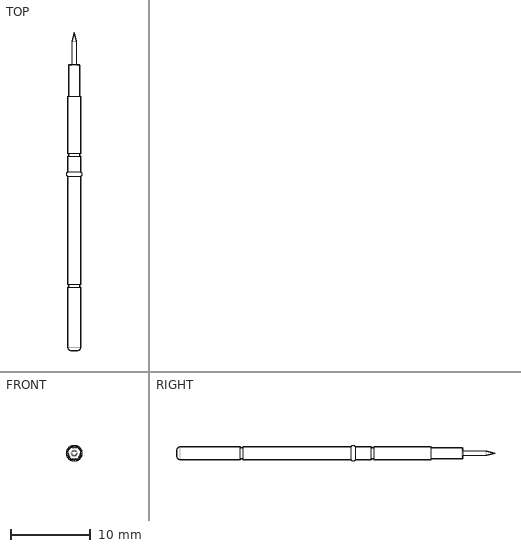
import cadquery as cq
import math

length = 40.0
tail_y = -length / 2
tip_y = length / 2

barrel_diameter = 1.65
sleeve_diameter = 1.4
plunger_diameter = 0.6
barrel_radius = barrel_diameter / 2
sleeve_radius = sleeve_diameter / 2
plunger_radius = plunger_diameter / 2

tip_length = 1.1
plunger_length = 4.0
sleeve_length = 4.0
sleeve_fillet = 0.1
tail_fillet = 0.45

ring_outer_radius = 1.0
ring_tube_radius = 0.3
ring_from_tip = 17.8

groove_width = 0.4
groove_depth = 0.1
grooves_from_tip = (15.35, 31.85)

sleeve_front_y = tip_y - plunger_length
barrel_front_y = sleeve_front_y - sleeve_length


def revolve_about_y(profile):
    """Turn an XY profile a full revolution about the Y axis."""
    return profile.revolve(360, (0, 0, 0), (0, 1, 0))


def make_body():
    """Plunger, sleeve and barrel as one stepped shaft with a rounded tail."""
    profile = (
        cq.Workplane("XY")
        .moveTo(0, tip_y)
        .lineTo(plunger_radius, tip_y - tip_length)
        .lineTo(plunger_radius, sleeve_front_y)
        .lineTo(sleeve_radius - sleeve_fillet, sleeve_front_y)
        .tangentArcPoint((sleeve_radius, sleeve_front_y - sleeve_fillet), relative=False)
        .lineTo(sleeve_radius, barrel_front_y)
        .lineTo(barrel_radius, barrel_front_y)
        .lineTo(barrel_radius, tail_y + tail_fillet)
        .tangentArcPoint((barrel_radius - tail_fillet, tail_y), relative=False)
        .lineTo(0, tail_y)
        .close()
    )
    return revolve_about_y(profile)


def make_ring():
    """Rounded bead that stands out around the barrel."""
    center_y = tip_y - ring_from_tip
    tube_center_radius = ring_outer_radius - ring_tube_radius
    foot_half_width = math.sqrt(ring_tube_radius**2 - (barrel_radius - tube_center_radius) ** 2)
    profile = (
        cq.Workplane("XY")
        .moveTo(0, center_y - foot_half_width)
        .lineTo(barrel_radius, center_y - foot_half_width)
        .threePointArc((ring_outer_radius, center_y), (barrel_radius, center_y + foot_half_width))
        .lineTo(0, center_y + foot_half_width)
        .close()
    )
    return revolve_about_y(profile)


def make_groove(distance_from_tip):
    """Cutter for a crimp groove with an arc-shaped section around the barrel."""
    center_y = tip_y - distance_from_tip
    half_width = groove_width / 2
    outside_radius = barrel_radius + groove_depth
    profile = (
        cq.Workplane("XY")
        .moveTo(outside_radius, center_y - half_width)
        .lineTo(barrel_radius, center_y - half_width)
        .threePointArc(
            (barrel_radius - groove_depth, center_y),
            (barrel_radius, center_y + half_width),
        )
        .lineTo(outside_radius, center_y + half_width)
        .close()
    )
    return revolve_about_y(profile)


result = make_body().union(make_ring())
for groove_from_tip in grooves_from_tip:
    result = result.cut(make_groove(groove_from_tip))